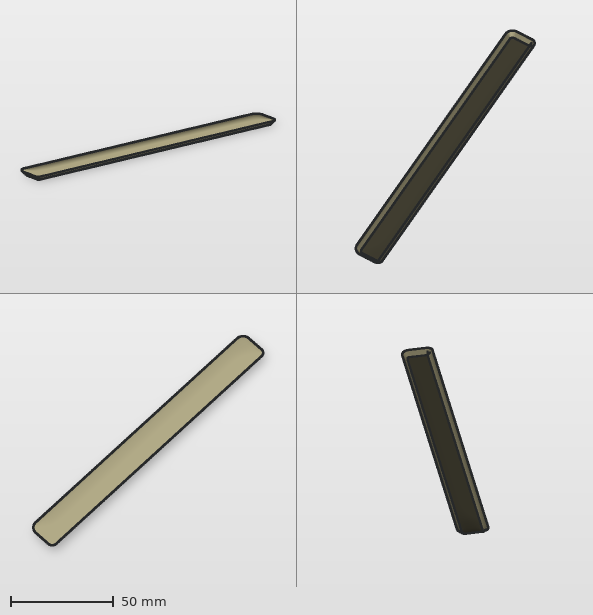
import cadquery as cq

WIDTH = 15.33
LENGTH = 148.0
THICKNESS = 2.54

WALL_ANGLE = 45.0

LEFT_CORNER_RADIUS = 4.0
RIGHT_CORNER_RADIUS = THICKNESS


def top_outline():
    """Rectangle with larger rounded corners on -X and smaller ones on +X."""
    return (
        cq.Sketch()
        .rect(WIDTH, LENGTH)
        .vertices("<X")
        .fillet(LEFT_CORNER_RADIUS)
        .reset()
        .vertices(">X")
        .fillet(RIGHT_CORNER_RADIUS)
    )


def bevelled_strip():
    """Taper the top outline inwards from the top face down to the bottom face at Z = 0."""
    return (
        cq.Workplane("XY", origin=(0, 0, THICKNESS))
        .placeSketch(top_outline())
        .extrude(-THICKNESS, taper=WALL_ANGLE)
    )


result = bevelled_strip()